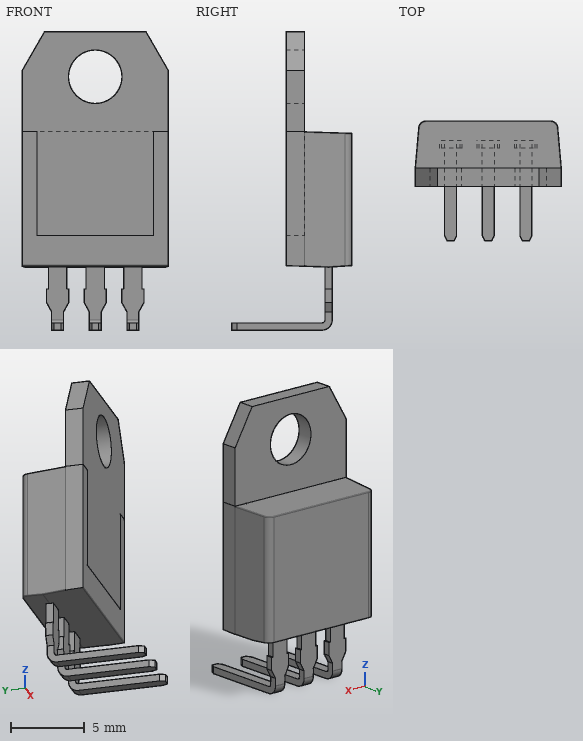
import cadquery as cq
import math


width = 9.9
total_height = 20.2
tab_thickness = 1.25
corner_cut_width = 1.52
corner_cut_height = 2.63
hole_diameter = 3.6
hole_drop = 3.05
tongue_width = 7.88
tongue_bottom = 6.43

housing_top = 13.44
housing_bottom = 4.37
housing_depth = 4.45
ridge_drop = 0.1
top_drop = 0.1
side_draft = 5.0
back_edge_radius = 0.5
rim_radius = 0.05

lead_count = 3
lead_pitch = 2.55
lead_thickness = 0.5
lead_front = 2.63
lead_tip = -3.68
bend_inner_radius = 0.2
root_width = 1.25
shoulder_width = 1.52
pin_width = 0.83
tip_width = 0.46
tip_taper = 0.36
shoulder_top = 2.8
shoulder_bottom = 1.88
pin_top = 1.25

lead_middle = lead_front + lead_thickness / 2
lead_back = lead_front + lead_thickness
front_slope = ridge_drop / lead_middle


def extrude_along_y(outline, start, end):
    """Turn an outline drawn in X and Z into a solid between two Y positions."""
    return outline.extrude(start - end).translate((0, start, 0))


def make_tab():
    """Flat metal tab: wide with cut corners at the top, a narrower tongue below."""
    half = width / 2
    half_top = half - corner_cut_width
    half_tongue = tongue_width / 2
    corner_bottom = total_height - corner_cut_height
    outline = cq.Workplane("XZ").polyline([
        (-half_top, total_height),
        (half_top, total_height),
        (half, corner_bottom),
        (half, housing_top),
        (half_tongue, housing_top),
        (half_tongue, tongue_bottom),
        (-half_tongue, tongue_bottom),
        (-half_tongue, housing_top),
        (-half, housing_top),
        (-half, corner_bottom),
    ]).close()
    hole = cq.Workplane("XZ").center(0, total_height - hole_drop).circle(hole_diameter / 2)
    plate = extrude_along_y(outline, 0, tab_thickness)
    return plate.cut(extrude_along_y(hole, 0, tab_thickness))


def make_flange():
    """Full-width part of the housing level with the tab; its sloping underside starts at a softened edge."""
    flange = cq.Workplane("YZ").polyline([
        (0, housing_top),
        (tab_thickness, housing_top),
        (tab_thickness, housing_bottom - front_slope * tab_thickness),
        (0, housing_bottom),
    ]).close().extrude(width / 2, both=True)
    return flange.faces("<Y").edges("<Z").fillet(rim_radius)


def make_back_block():
    """Part of the housing behind the tab: drafted sides, rounded back edges and softened rims."""
    side_profile = cq.Workplane("YZ").polyline([
        (tab_thickness, housing_top),
        (housing_depth, housing_top - top_drop),
        (housing_depth, housing_bottom),
        (lead_middle, housing_bottom - ridge_drop),
        (tab_thickness, housing_bottom - front_slope * tab_thickness),
    ]).close().extrude(width / 2, both=True)

    half = width / 2
    draft_inset = (housing_depth - tab_thickness) * math.tan(math.radians(side_draft))
    half_back = half - draft_inset
    plan = cq.Workplane("XY").polyline([
        (-half, tab_thickness),
        (half, tab_thickness),
        (half_back, housing_depth),
        (-half_back, housing_depth),
    ]).close().extrude(total_height)
    plan = plan.edges("|Z and >Y").fillet(back_edge_radius)

    block = side_profile.intersect(plan)
    sharp_edges = block.edges("|Z").add(block.edges("|X and <Z")).add(block.faces("<Y").edges())
    rims = [edge for edge in block.edges().vals() if edge not in sharp_edges.vals()]
    return block.newObject(rims).fillet(rim_radius)


def make_lead():
    """One lead on X = 0: upright from the housing's ridge, then bent forward to a tapered tip."""
    bend_outer_radius = bend_inner_radius + lead_thickness
    root_top = housing_bottom
    side_profile = (
        cq.Workplane("YZ")
        .moveTo(lead_back, root_top)
        .lineTo(lead_back, bend_outer_radius)
        .radiusArc((lead_back - bend_outer_radius, 0), bend_outer_radius)
        .lineTo(lead_tip, 0)
        .lineTo(lead_tip, lead_thickness)
        .lineTo(lead_front - bend_inner_radius, lead_thickness)
        .radiusArc((lead_front, bend_outer_radius), -bend_inner_radius)
        .lineTo(lead_front, root_top)
        .close()
        .extrude(shoulder_width / 2, both=True)
    )

    right_edge = [
        (root_width / 2, root_top),
        (root_width / 2, shoulder_top),
        (shoulder_width / 2, shoulder_top),
        (shoulder_width / 2, shoulder_bottom),
        (pin_width / 2, pin_top),
        (pin_width / 2, 0),
    ]
    left_edge = [(-x, z) for x, z in reversed(right_edge)]
    front_outline = cq.Workplane("XZ").polyline(right_edge + left_edge).close()
    lead = side_profile.intersect(extrude_along_y(front_outline, lead_tip, lead_back))

    taper_start = lead_tip + tip_taper
    plan = cq.Workplane("XY").polyline([
        (-tip_width / 2, lead_tip),
        (tip_width / 2, lead_tip),
        (pin_width / 2, taper_start),
        (shoulder_width / 2, lead_front),
        (shoulder_width / 2, lead_back),
        (-shoulder_width / 2, lead_back),
        (-shoulder_width / 2, lead_front),
        (-pin_width / 2, taper_start),
    ]).close().extrude(root_top)
    return lead.intersect(plan)


def make_housing(tab):
    """Moulded block with its row of leads, recessed for the tab's tongue."""
    housing = make_flange().union(make_back_block()).cut(tab)
    lead = make_lead()
    for index in range(lead_count):
        offset = (index - (lead_count - 1) / 2) * lead_pitch
        housing = housing.union(lead.translate((offset, 0, 0)))
    return housing


tab = make_tab()
housing = make_housing(tab)

result = cq.Compound.makeCompound([tab.solids().val(), housing.solids().val()])